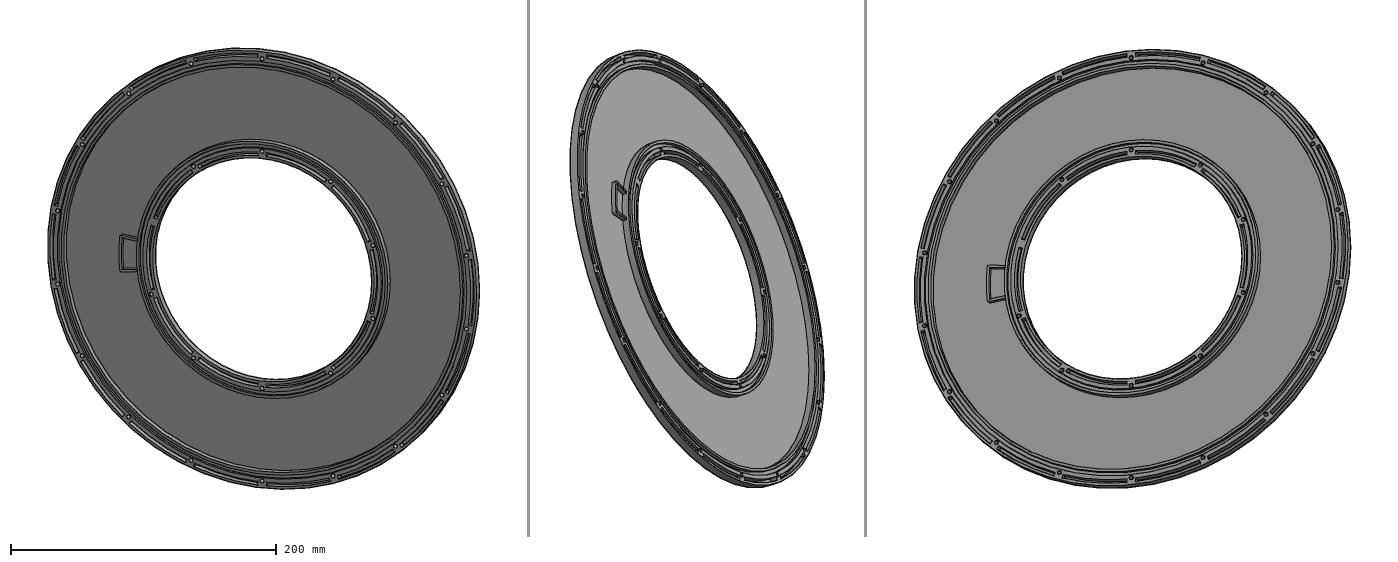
import cadquery as cq
import math

outer_radius = 172.0
bore_radius = 87.7
thickness = 6.5
floor_thickness = 1.0

rim_width = 8.0
groove_width = 3.0
groove_depth = 2.8
rib_width = 2.0

hole_diameter = 3.0
outer_hole_radius = 166.28
outer_hole_count = 18
inner_hole_radius = 93.37
inner_hole_count = 10
undrilled_position = 2

slot_width = 2.8
slot_edge_margin = 2.0
slot_hole_gap = 3.5

frame_outer_radius = 115.5
frame_half_angle = 7.3
frame_height = 3.5
frame_corner_radius = 1.7

first_hole_angle = 90.0
frame_angle = 180.0

back = -thickness / 2
front = thickness / 2
floor_level = back + floor_thickness
rim_height = thickness - floor_thickness
groove_bottom_height = rim_height - groove_depth

outer_rim_radius = outer_radius - rim_width
inner_rim_radius = bore_radius + rim_width
outer_rib_radius = outer_rim_radius - groove_width
inner_rib_radius = inner_rim_radius + groove_width


def polar(radius, angle):
    """Point at a radius and an angle in degrees."""
    return (radius * math.cos(math.radians(angle)), radius * math.sin(math.radians(angle)))


def arc_degrees(length, radius):
    """Angle in degrees covered by a length along a circle."""
    return math.degrees(length / radius)


def ring(inner, outer, bottom, height):
    """Flat ring about the axis."""
    return cq.Workplane("XY", origin=(0, 0, bottom)).circle(outer).circle(inner).extrude(height)


def sector(inner, outer, center_angle, half_angle, bottom, height):
    """Piece of a ring, centred on one angle."""
    start = center_angle - half_angle
    end = center_angle + half_angle
    return (
        cq.Workplane("XY", origin=(0, 0, bottom))
        .moveTo(*polar(inner, start))
        .lineTo(*polar(outer, start))
        .threePointArc(polar(outer, center_angle), polar(outer, end))
        .lineTo(*polar(inner, end))
        .threePointArc(polar(inner, center_angle), polar(inner, start))
        .close()
        .extrude(height)
    )


def hole_angles(count):
    """Evenly spaced screw positions, counted from the top of the disc."""
    return [first_hole_angle + i * 360 / count for i in range(count)]


def drill(body, angles, radius):
    """Through holes at the given angles."""
    points = [polar(radius, angle) for angle in angles]
    cutter = cq.Workplane("XY", origin=(0, 0, back)).pushPoints(points)
    return body.cut(cutter.circle(hole_diameter / 2).extrude(thickness))


def cut_slots(body, inner, count, hole_radius):
    """Slots down to the floor, one between each two neighbouring screw positions."""
    half_pitch = 180 / count
    half_angle = half_pitch - arc_degrees(slot_hole_gap, hole_radius)
    for angle in hole_angles(count):
        middle = angle + half_pitch
        body = body.cut(sector(inner, inner + slot_width, middle, half_angle, floor_level, rim_height))
    return body


def frame():
    """Frame with radial sides that opens onto the inner rib."""
    root_radius = inner_rib_radius + rib_width / 2
    inner_radius = frame_outer_radius - rib_width
    opening_half_angle = frame_half_angle - arc_degrees(rib_width, inner_radius)
    outside = sector(
        root_radius, frame_outer_radius, frame_angle, frame_half_angle, floor_level, frame_height
    )
    outside = outside.edges("|Z").edges("<X").fillet(frame_corner_radius)
    opening = sector(
        root_radius, inner_radius, frame_angle, opening_half_angle, floor_level, frame_height
    )
    return outside.cut(opening)


body = ring(bore_radius, outer_radius, back, floor_thickness)
body = body.union(ring(outer_rim_radius, outer_radius, floor_level, rim_height))
body = body.union(ring(bore_radius, inner_rim_radius, floor_level, rim_height))
body = body.union(ring(outer_rib_radius, outer_rim_radius, floor_level, groove_bottom_height))
body = body.union(ring(inner_rim_radius, inner_rib_radius, floor_level, groove_bottom_height))
body = body.union(ring(outer_rib_radius - rib_width, outer_rib_radius, floor_level, rim_height))
body = body.union(ring(inner_rib_radius, inner_rib_radius + rib_width, floor_level, rim_height))
body = body.union(frame())

outer_slot_radius = outer_radius - slot_edge_margin - slot_width
inner_slot_radius = bore_radius + slot_edge_margin
body = cut_slots(body, outer_slot_radius, outer_hole_count, outer_hole_radius)
body = cut_slots(body, inner_slot_radius, inner_hole_count, inner_hole_radius)

inner_angles = hole_angles(inner_hole_count)
inner_angles.pop(undrilled_position)
body = drill(body, hole_angles(outer_hole_count), outer_hole_radius)
body = drill(body, inner_angles, inner_hole_radius)

result = body.rotate((0, 0, 0), (1, 0, 0), 90)